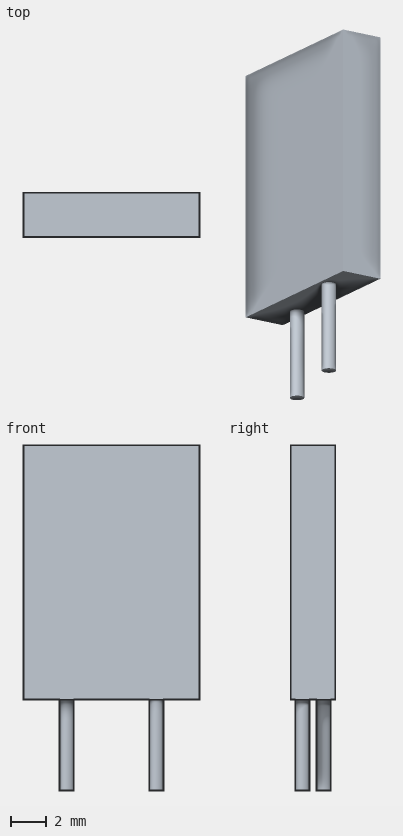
import cadquery as cq

overall_height = 19.4
case_width = 9.9
case_depth = 2.5

lead_diameter = 0.81
lead_length = 5.1
lead_spacing_x = 5.05
lead_spacing_y = 1.2

case_height = overall_height - lead_length


def make_case():
    """Plain rectangular case standing on the XY plane."""
    return cq.Workplane("XY").box(case_width, case_depth, case_height, centered=(True, True, False))


def make_lead(x, y):
    """Straight round lead hanging from the underside of the case."""
    return cq.Workplane("XY").center(x, y).circle(lead_diameter / 2).extrude(-lead_length)


case = make_case()

leads = []
for side in (-1, 1):
    lead_x = side * lead_spacing_x / 2
    lead_y = -side * lead_spacing_y / 2
    leads.append(make_lead(lead_x, lead_y).val())

result = cq.Compound.makeCompound([case.val(), *leads])